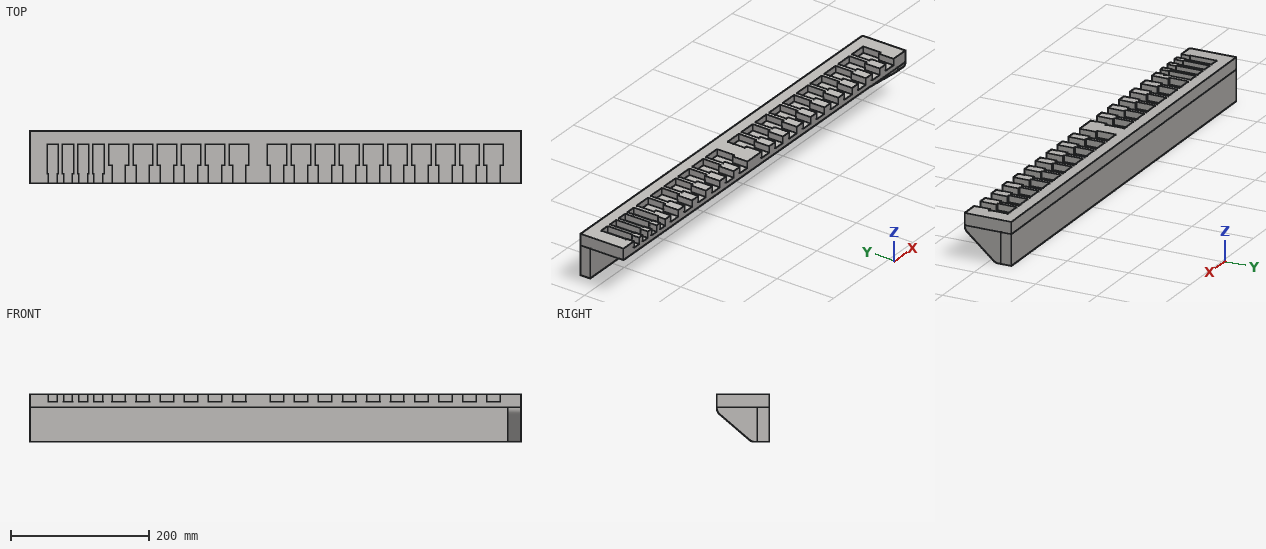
import cadquery as cq

LENGTH = 711.0
DEPTH = 76.0
HEIGHT = 69.0

SHELF_THICKNESS = 19.0
BACK_THICKNESS = 17.0
SHELF_BOTTOM = HEIGHT - SHELF_THICKNESS

BRACKET_THICKNESS = 19.0
BRACKET_FRONT_HEIGHT = 6.5
BRACKET_FOOT_DEPTH = 8.5
BRACKET_CORNER_RADIUS = 11.5

SLOT_DEPTH = 11.0
SLOT_BACK_MARGIN = 19.0
SLOT_LENGTH = DEPTH - SLOT_BACK_MARGIN

SMALL_SLOT_COUNT = 4
SMALL_SLOT_START = 25.0
SMALL_SLOT_PITCH = 22.0
SMALL_SLOT_WIDTH = 16.5
SMALL_MOUTH_WIDTH = 13.0
SMALL_MOUTH_LENGTH = 13.5

LARGE_SLOT_PITCH = 35.0
LARGE_SLOT_WIDTH = 28.5
LARGE_MOUTH_WIDTH = 19.0
LARGE_MOUTH_LENGTH = 26.0
LEFT_GROUP_COUNT = 6
LEFT_GROUP_START = 114.5
RIGHT_GROUP_COUNT = 10
RIGHT_GROUP_START = 343.5


def block(x, y, z, size_x, size_y, size_z):
    """Box with its left, front, bottom corner at (x, y, z)."""
    return cq.Workplane("XY").box(size_x, size_y, size_z, centered=False).translate((x, y, z))


def slot_cutter(center_x, width, mouth_width, mouth_length):
    """Wide pocket with a narrower mouth running out through the front edge."""
    floor = HEIGHT - SLOT_DEPTH
    pocket_length = SLOT_LENGTH - mouth_length
    pocket = block(center_x - width / 2, -DEPTH + mouth_length, floor, width, pocket_length, SLOT_DEPTH)
    mouth = block(center_x - mouth_width / 2, -DEPTH, floor, mouth_width, mouth_length, SLOT_DEPTH)
    return pocket.union(mouth)


def cut_slot_row(board, start, count, pitch, width, mouth_width, mouth_length):
    """Cut evenly spaced slots; start is the left side of the first pocket."""
    for index in range(count):
        center_x = start + width / 2 + index * pitch
        board = board.cut(slot_cutter(center_x, width, mouth_width, mouth_length))
    return board


def make_shelf():
    """Top board with one row of small slots and two rows of large slots."""
    board = block(0, -DEPTH, SHELF_BOTTOM, LENGTH, DEPTH, SHELF_THICKNESS)
    board = cut_slot_row(board, SMALL_SLOT_START, SMALL_SLOT_COUNT, SMALL_SLOT_PITCH,
                         SMALL_SLOT_WIDTH, SMALL_MOUTH_WIDTH, SMALL_MOUTH_LENGTH)
    large_groups = (
        (LEFT_GROUP_START, LEFT_GROUP_COUNT),
        (RIGHT_GROUP_START, RIGHT_GROUP_COUNT),
    )
    for start, count in large_groups:
        board = cut_slot_row(board, start, count, LARGE_SLOT_PITCH,
                             LARGE_SLOT_WIDTH, LARGE_MOUTH_WIDTH, LARGE_MOUTH_LENGTH)
    return board


def make_back_board():
    """Upright board under the rear of the shelf, along its full length."""
    return block(0, -BACK_THICKNESS, 0, LENGTH, BACK_THICKNESS, SHELF_BOTTOM)


def make_bracket():
    """Gusset at the right end, in the corner between the shelf and the back board."""
    foot_front = -BACK_THICKNESS - BRACKET_FOOT_DEPTH
    slope_top = SHELF_BOTTOM - BRACKET_FRONT_HEIGHT
    gusset = (
        cq.Workplane("YZ", origin=(LENGTH - BRACKET_THICKNESS, 0, 0))
        .moveTo(-BACK_THICKNESS, 0)
        .lineTo(-BACK_THICKNESS, SHELF_BOTTOM)
        .lineTo(-DEPTH, SHELF_BOTTOM)
        .lineTo(-DEPTH, slope_top)
        .lineTo(foot_front, 0)
        .close()
        .extrude(BRACKET_THICKNESS)
    )
    slope_end_points = ((LENGTH, -DEPTH, slope_top), (LENGTH, foot_front, 0))
    for point in slope_end_points:
        corner_edge = gusset.edges("|X").edges(cq.selectors.NearestToPointSelector(point))
        gusset = corner_edge.fillet(BRACKET_CORNER_RADIUS)
    return gusset


shelf = make_shelf()
back_board = make_back_board()
bracket = make_bracket()

result = cq.Compound.makeCompound([shelf.val(), back_board.val(), bracket.val()])